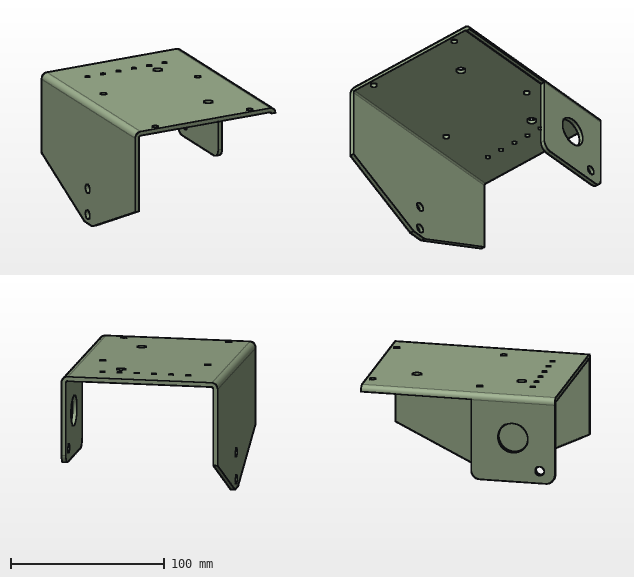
import cadquery as cq

length = 130.0
width = 104.0
front_height = 84.1
thickness = 3.0
bend_outer_radius = 4.0
bend_inner_radius = bend_outer_radius - thickness

front_side_height = 55.2
front_flat_width = 10.7
front_hole_diameter = 6.0
front_hole_x = -1.0
front_hole_depths = (60.0, 78.0)

back_height = 58.5
tab_width = 56.0
tab_corner_radius = 6.0
tab_bore_diameter = 20.0
tab_bore_depth = 28.6
tab_hole_diameter = 6.0
tab_hole_inset = 10.0
tab_hole_depth = 50.0

corner_hole_diameter = 4.0
corner_hole_xs = (-10.9, 61.0)
corner_hole_y = 35.0
large_hole_diameter = 6.0
large_hole_x = 35.1
large_hole_y = 18.1
row_hole_diameter = 3.0
row_x = -45.0
row_pitch = 11.5
row_count = 6

left = -length / 2
front = -width / 2
back = width / 2


def bent_sheet():
    """U-shaped channel with its top at Z = 0 and both flanges at full depth."""
    outer = (
        cq.Workplane("XY")
        .box(length, width, front_height, centered=(True, True, False))
        .translate((0, 0, -front_height))
        .edges("|X and >Z")
        .fillet(bend_outer_radius)
    )
    inner = (
        cq.Workplane("XY")
        .box(length, width - 2 * thickness, front_height, centered=(True, True, False))
        .translate((0, 0, -front_height - thickness))
        .edges("|X and >Z")
        .fillet(bend_inner_radius)
    )
    return outer.cut(inner)


def flange_plane(outer_y):
    """XZ workplane on the outer face of the front or the back flange."""
    return cq.Workplane("XZ", origin=(0, outer_y, 0))


def front_profile():
    """Tapered front outline, extruded through the front half of the channel."""
    return (
        flange_plane(0)
        .moveTo(left, 0)
        .lineTo(left, -front_side_height)
        .lineTo(-front_flat_width / 2, -front_height)
        .lineTo(front_flat_width / 2, -front_height)
        .lineTo(-left, -front_side_height)
        .lineTo(-left, 0)
        .close()
        .extrude(width / 2)
    )


def back_profile():
    """Full-length bend plus the rounded tab, through the back half of the channel."""
    bend_strip = (
        cq.Workplane("XY")
        .box(length, width / 2, bend_outer_radius, centered=(True, False, False))
        .translate((0, 0, -bend_outer_radius))
    )
    tab = (
        cq.Workplane("XY")
        .box(tab_width, width / 2, back_height, centered=False)
        .translate((left, 0, -back_height))
        .edges("|Y and <Z")
        .fillet(tab_corner_radius)
    )
    return bend_strip.union(tab)


def flange_holes(outer_y, points, diameter):
    """Cutters from the outer face of one flange to the channel middle at Y = 0."""
    return flange_plane(outer_y).pushPoints(points).circle(diameter / 2).extrude(outer_y)


def top_holes(points, diameter):
    """Cutters through the top plate."""
    return cq.Workplane("XY").pushPoints(points).circle(diameter / 2).extrude(-2 * thickness)


front_hole_points = [(front_hole_x, -depth) for depth in front_hole_depths]
tab_bore_points = [(left + tab_width / 2, -tab_bore_depth)]
tab_hole_points = [(left + tab_hole_inset, -tab_hole_depth)]

corner_points = [(x, y) for x in corner_hole_xs for y in (-corner_hole_y, corner_hole_y)]
large_points = [(x, large_hole_y) for x in (-large_hole_x, large_hole_x)]
row_points = [(row_x, (i - (row_count - 1) / 2) * row_pitch) for i in range(row_count)]

result = (
    bent_sheet()
    .intersect(front_profile().union(back_profile()))
    .cut(flange_holes(front, front_hole_points, front_hole_diameter))
    .cut(flange_holes(back, tab_bore_points, tab_bore_diameter))
    .cut(flange_holes(back, tab_hole_points, tab_hole_diameter))
    .cut(top_holes(corner_points, corner_hole_diameter))
    .cut(top_holes(large_points, large_hole_diameter))
    .cut(top_holes(row_points, row_hole_diameter))
)